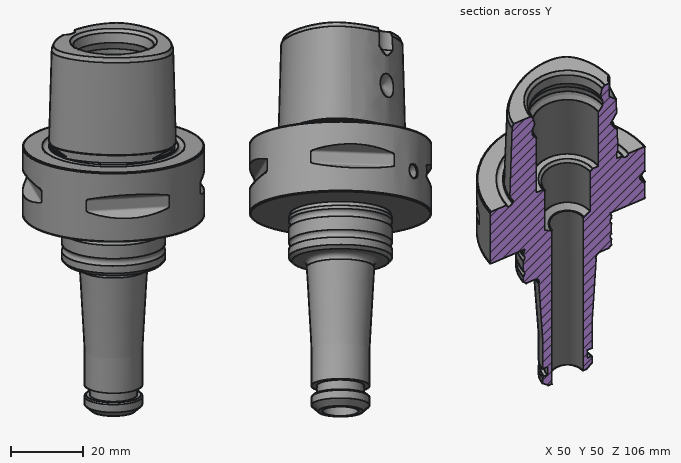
import cadquery as cq
import math

total_height = 106.0
flange_height = 20.0
shank_height = 30.0
flange_top = total_height - shank_height
flange_bottom = flange_top - flange_height

shank_base_radius = 17.5
shank_tip_radius = 16.7
lobe_rise = 1.2
lobe_count = 3
lobe_pitch = 360.0 / lobe_count
lobe_half_angle = 27.0
curve_steps = 12
neck_height = 2.4
shank_foot = flange_top + neck_height
bevel_height = 1.3
bevel_width = 0.5
neck_setback = 0.3
foot_bevel_height = 0.3
neck_radius = 17.6
neck_cone_height = 1.9

flange_diameter = 50.0
flange_radius = flange_diameter / 2
flange_chamfer = 0.3
ring_groove_outer_radius = 19.6
ring_groove_inner_radius = 17.8

slot_count = 4
slot_floor_distance = 22.2
slot_floor_width = 3.5
slot_mouth_width = 6.8
slot_fillet = 0.7
slot_level = 66.1

collar_radius = 28.5 / 2
collar_bottom = 42.7
collar_chamfer = 1.0
undercut_depth = 0.4
undercut_height = 1.2
groove_depth = 0.4
groove_flank_depth = 0.3
groove_height = 2.1
groove_flank_height = 0.6
groove_tops = (53.8, 47.9)

stem_fillet_radius = 10.6
stem_top_radius = 9.3
stem_top = 40.8
stem_radius = 16.0 / 2
stem_taper_end = 17.3
tip_neck_top = 7.2
tip_neck_radius = 13.0 / 2
tip_ring_top = 4.3
tip_ring_bevel = 0.4
tip_chamfer_height = 1.7
tip_face_radius = 6.1

mouth_radius = 24.0 / 2
guide_top_radius = 22.2 / 2
guide_end_radius = 21.0 / 2
guide_end_depth = 3.6
inner_groove_radius = 11.2
inner_groove_flare_end = 5.6
inner_groove_end = 7.3
lead_radius = 10.8
lead_depth = 8.2
socket_radius = 19.8 / 2
socket_depth = 9.2
socket_floor = flange_top
seat_radius = 16.0 / 2
tap_radius = 14.4 / 2
tap_depth = 15.9
throat_radius = 10.5 / 2
through_radius = 10.0 / 2

dimple_height = 6.6
dimple_level = 90.2
flange_hole_diameter = 4.0
flange_hole_level = 64.3
flange_hole_depth = 0.5
drill_half_angle = 59.0
notch_radius = 3.5
notch_axis_x = -17.1
notch_floor = 100.8


def lobed_point(mean_radius, angle):
    """Point of the constant-width lobed outline whose outward normal is at this angle."""
    support = mean_radius + lobe_rise * math.cos(lobe_count * angle)
    slope = -lobe_count * lobe_rise * math.sin(lobe_count * angle)
    x = support * math.cos(angle) - slope * math.sin(angle)
    y = support * math.sin(angle) + slope * math.cos(angle)
    return x, y


def lobed_wire(mean_radius, z):
    """Closed outline of three lobes and three flats, one curve for each."""
    edges = []
    for index in range(lobe_count):
        lobe_centre = lobe_pitch * index
        lobe_start = lobe_centre - lobe_half_angle
        lobe_end = lobe_centre + lobe_half_angle
        next_lobe_start = lobe_start + lobe_pitch
        for start, stop in ((lobe_start, lobe_end), (lobe_end, next_lobe_start)):
            points = []
            for step in range(curve_steps + 1):
                angle = math.radians(start + (stop - start) * step / curve_steps)
                x, y = lobed_point(mean_radius, angle)
                points.append(cq.Vector(x, y, z))
            edges.append(cq.Edge.makeSpline(points))
    return cq.Wire.assembleEdges(edges)


def lobed_solid(lower_radius, lower_z, upper_radius, upper_z):
    """Straight-sided solid between two lobed outlines."""
    wires = [lobed_wire(lower_radius, lower_z), lobed_wire(upper_radius, upper_z)]
    return cq.Workplane(obj=cq.Solid.makeLoft(wires, True))


def revolve_profile(profile):
    """Turn a closed (radius, Z) outline about the Z axis."""
    return profile.close().revolve(360, (0, 0, 0), (0, 1, 0))


def make_shank():
    bevel_start = total_height - bevel_height
    foot_bevel_bottom = shank_foot - foot_bevel_height
    neck_mean = shank_base_radius - neck_setback
    neck = lobed_solid(neck_mean, flange_top, neck_mean, foot_bevel_bottom)
    foot_bevel = lobed_solid(neck_mean, foot_bevel_bottom, shank_base_radius, shank_foot)
    neck_limit = revolve_profile(
        cq.Workplane("XZ")
        .moveTo(0, flange_top)
        .lineTo(neck_radius, flange_top)
        .lineTo(neck_radius, shank_foot - neck_cone_height)
        .lineTo(shank_base_radius + lobe_rise, shank_foot)
        .lineTo(0, shank_foot)
    )
    taper = lobed_solid(shank_base_radius, shank_foot, shank_tip_radius, bevel_start)
    bevel = lobed_solid(shank_tip_radius, bevel_start, shank_tip_radius - bevel_width, total_height)
    return neck.union(foot_bevel).intersect(neck_limit).union(taper).union(bevel)


def make_flange():
    flange = (
        cq.Workplane("XY", origin=(0, 0, flange_bottom))
        .circle(flange_radius)
        .extrude(flange_height)
        .edges()
        .chamfer(flange_chamfer)
    )
    groove_half_width = (ring_groove_outer_radius - ring_groove_inner_radius) / 2
    groove_middle = (ring_groove_outer_radius + ring_groove_inner_radius) / 2
    ring_groove = revolve_profile(
        cq.Workplane("XZ")
        .moveTo(ring_groove_inner_radius, flange_top)
        .threePointArc(
            (groove_middle, flange_top - groove_half_width),
            (ring_groove_outer_radius, flange_top),
        )
    )
    return flange.cut(ring_groove)


def make_slot():
    """Flared trapezoidal cutter that widens outward along +X."""
    reach = flange_radius - slot_floor_distance
    slope = (slot_mouth_width - slot_floor_width) / 2 / reach
    overrun = 1.1
    outer_half = slot_mouth_width / 2 + slope * overrun
    floor_half = slot_floor_width / 2
    return (
        cq.Workplane("XZ")
        .moveTo(slot_floor_distance, slot_level - floor_half)
        .lineTo(flange_radius + overrun, slot_level - outer_half)
        .lineTo(flange_radius + overrun, slot_level + outer_half)
        .lineTo(slot_floor_distance, slot_level + floor_half)
        .close()
        .extrude(flange_radius, both=True)
        .edges("<X and |Y")
        .fillet(slot_fillet)
    )


def make_lower_body():
    undercut_radius = collar_radius - undercut_depth
    groove_radius = collar_radius - groove_depth
    profile = (
        cq.Workplane("XZ")
        .moveTo(0, flange_bottom)
        .lineTo(undercut_radius, flange_bottom)
        .lineTo(collar_radius, flange_bottom - undercut_height)
    )
    for groove_top in groove_tops:
        groove_bottom = groove_top - groove_height
        flank_top = groove_bottom + groove_flank_height
        arc_middle = (groove_top + flank_top) / 2
        profile = (
            profile.lineTo(collar_radius, groove_top)
            .threePointArc(
                (groove_radius, arc_middle),
                (collar_radius - groove_flank_depth, flank_top),
            )
            .lineTo(collar_radius, groove_bottom)
        )
    stem_end = (stem_top_radius, stem_top)
    profile = (
        profile.lineTo(collar_radius, collar_bottom + collar_chamfer)
        .lineTo(collar_radius - collar_chamfer, collar_bottom)
        .lineTo(stem_fillet_radius, collar_bottom)
        .tangentArcPoint(stem_end, relative=False)
        .lineTo(stem_radius, stem_taper_end)
        .lineTo(stem_radius, tip_neck_top)
        .lineTo(tip_neck_radius, tip_neck_top)
        .lineTo(tip_neck_radius, tip_ring_top)
        .lineTo(stem_radius - tip_ring_bevel, tip_ring_top)
        .lineTo(stem_radius, tip_ring_top - tip_ring_bevel)
        .lineTo(stem_radius, tip_chamfer_height)
        .lineTo(tip_face_radius, 0)
        .lineTo(0, 0)
    )
    return revolve_profile(profile)


def make_bore():
    """Stepped bore, from the mouth of the shank down through the tip."""
    mouth_chamfer = mouth_radius - guide_top_radius
    seat_chamfer = seat_radius - tap_radius
    tap_floor = socket_floor - tap_depth
    throat_level = tap_floor - (tap_radius - throat_radius) / math.tan(math.radians(drill_half_angle))
    return revolve_profile(
        cq.Workplane("XZ")
        .moveTo(0, total_height)
        .lineTo(mouth_radius, total_height)
        .lineTo(guide_top_radius, total_height - mouth_chamfer)
        .lineTo(guide_end_radius, total_height - guide_end_depth)
        .lineTo(inner_groove_radius, total_height - inner_groove_flare_end)
        .lineTo(inner_groove_radius, total_height - inner_groove_end)
        .lineTo(lead_radius, total_height - lead_depth)
        .lineTo(socket_radius, total_height - socket_depth)
        .lineTo(socket_radius, socket_floor)
        .lineTo(seat_radius, socket_floor)
        .lineTo(tap_radius, socket_floor - seat_chamfer)
        .lineTo(tap_radius, tap_floor)
        .lineTo(throat_radius, throat_level)
        .lineTo(through_radius, throat_level)
        .lineTo(through_radius, 0)
        .lineTo(0, 0)
    )


def make_dimple():
    """Blunt cone that enters the shank flat along +X."""
    flat_x = lobe_rise - (shank_base_radius + shank_tip_radius) / 2
    depth = dimple_height / 2 / math.tan(math.radians(drill_half_angle))
    overrun = 1.1
    outer_radius = (depth + overrun) * math.tan(math.radians(drill_half_angle))
    return (
        cq.Workplane("XZ")
        .moveTo(flat_x - overrun, dimple_level)
        .lineTo(flat_x - overrun, dimple_level + outer_radius)
        .lineTo(flat_x + depth, dimple_level)
        .close()
        .revolve(360, (0, dimple_level, 0), (1, dimple_level, 0))
    )


def make_flange_hole():
    """Shallow drilled hole with a conical tip that enters the rim along +X."""
    radius = flange_hole_diameter / 2
    hole_end = flange_hole_depth - flange_radius
    tip_length = radius / math.tan(math.radians(drill_half_angle))
    return (
        cq.Workplane("XZ")
        .moveTo(-flange_radius, flange_hole_level)
        .lineTo(-flange_radius, flange_hole_level + radius)
        .lineTo(hole_end, flange_hole_level + radius)
        .lineTo(hole_end + tip_length, flange_hole_level)
        .close()
        .revolve(360, (0, flange_hole_level, 0), (1, flange_hole_level, 0))
    )


def make_notch():
    """Upright cutter with a 45 degree conical tip, for the notch in the top rim."""
    cutter = revolve_profile(
        cq.Workplane("XZ")
        .moveTo(0, total_height)
        .lineTo(notch_radius, total_height)
        .lineTo(notch_radius, notch_floor)
        .lineTo(0, notch_floor - notch_radius)
    )
    return cutter.translate((notch_axis_x, 0, 0))


result = make_flange().union(make_shank()).union(make_lower_body())
slot = make_slot()
for index in range(slot_count):
    slot_angle = (index + 0.5) * 360.0 / slot_count
    result = result.cut(slot.rotate((0, 0, 0), (0, 0, 1), slot_angle))
result = (
    result.cut(make_bore())
    .cut(make_dimple())
    .cut(make_flange_hole())
    .cut(make_notch())
)